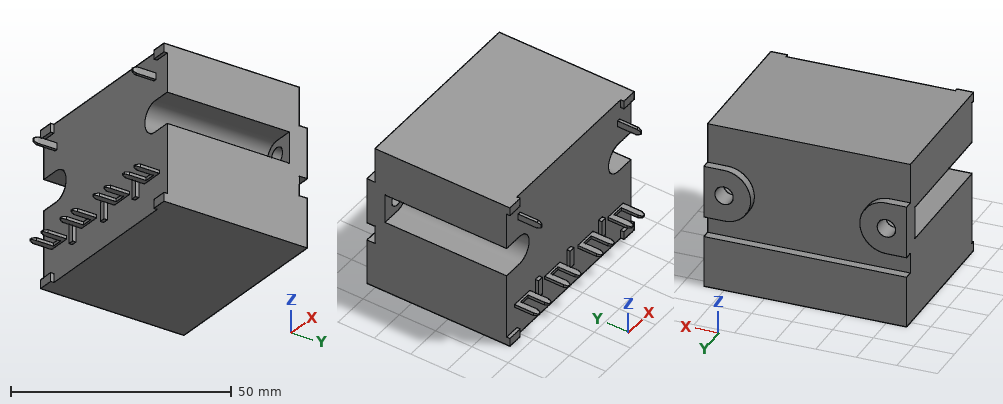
import cadquery as cq

WIDTH = 50.0
HEIGHT = 41.0
TOTAL_DEPTH = 44.7
PIN_LENGTH = 6.2
EAR_THICKNESS = 2.2
FOOT_HEIGHT = 12.9

HOLE_DIAMETER = 4.5
HOLE_INSET = 5.0
HOLE_BELOW_TOP = 16.5
SLOT_RADIUS = 4.05
SLOT_WALL = 5.0
EAR_RADIUS = 6.55

STANDOFF_HEIGHT = 0.9
STANDOFF_X = 4.15
STANDOFF_Z = 2.3
RIB_X = 1.5
RIB_Z = 5.0
RIB_PITCH = 12.7
RIB_ABOVE_BOTTOM = 8.95

PIN_THICKNESS = 0.8
TIP_LENGTH = 1.0
TIP_SCALE = 0.5
PRONG_WIDTH = 1.6
FORK_WIDTH = 6.1
FORK_BRIDGE = 0.6
FORK_OFFSETS = (-18.75, -6.65, 6.65, 18.75)
FORK_ABOVE_BOTTOM = 9.35
CONTROL_PIN_Z = 1.7
CONTROL_PIN_BELOW_TOP = 6.25

TOP = HEIGHT / 2
BOTTOM = -HEIGHT / 2
BACK = TOTAL_DEPTH - PIN_LENGTH
BODY_DEPTH = BACK - EAR_THICKNESS
HOLE_X = WIDTH / 2 - HOLE_INSET
HOLE_Z = TOP - HOLE_BELOW_TOP
FORK_Z = BOTTOM + FORK_ABOVE_BOTTOM
RIB_Z_CENTER = BOTTOM + RIB_ABOVE_BOTTOM
SIDES = (-1, 1)


def block(x, z, size_x, size_z, y_start, y_end):
    """Box centred on (x, z) that runs from y_start to y_end."""
    box = cq.Workplane("XY").box(size_x, y_end - y_start, size_z)
    return box.translate((x, (y_start + y_end) / 2, z))


def round_bar(x, z, radius, y_start, y_end):
    """Cylinder along Y from y_start to y_end."""
    start_plane = cq.Workplane("XZ", origin=(x, y_start, z))
    return start_plane.circle(radius).extrude(y_start - y_end)


def side_tongue(side, radius, y_start, y_end):
    """Half-round tongue about a mounting hole that runs out to the side of the case."""
    x = side * (WIDTH / 2 - HOLE_INSET / 2)
    tongue = round_bar(side * HOLE_X, HOLE_Z, radius, y_start, y_end)
    tongue = tongue.union(block(x, HOLE_Z, HOLE_INSET, 2 * radius, y_start, y_end))
    envelope = block(0, 0, WIDTH, HEIGHT, y_start, y_end)
    return tongue.intersect(envelope)


def pin(x, z, size_x, size_z):
    """Rectangular pin with a tapered tip, standing on the front face."""
    shoulder = TIP_LENGTH - PIN_LENGTH
    shank = block(x, z, size_x, size_z, shoulder, 0)
    tip = (
        cq.Workplane("XZ", origin=(x, shoulder, z))
        .rect(size_x, size_z)
        .workplane(offset=TIP_LENGTH)
        .rect(size_x * TIP_SCALE, size_z * TIP_SCALE)
        .loft()
    )
    return shank.union(tip)


def fork(x):
    """Load terminal: two prongs joined by a low bridge."""
    prong_offset = (FORK_WIDTH - PRONG_WIDTH) / 2
    terminal = block(x, FORK_Z, FORK_WIDTH, PIN_THICKNESS, -FORK_BRIDGE, 0)
    for side in SIDES:
        terminal = terminal.union(pin(x + side * prong_offset, FORK_Z, PRONG_WIDTH, PIN_THICKNESS))
    return terminal


result = block(0, 0, WIDTH, HEIGHT, 0, BODY_DEPTH)
result = result.union(block(0, BOTTOM + FOOT_HEIGHT / 2, WIDTH, FOOT_HEIGHT, 0, BACK))

for side in SIDES:
    result = result.union(side_tongue(side, EAR_RADIUS, BODY_DEPTH, BACK))
    result = result.cut(side_tongue(side, SLOT_RADIUS, 0, BACK - SLOT_WALL))
    result = result.cut(round_bar(side * HOLE_X, HOLE_Z, HOLE_DIAMETER / 2, 0, BACK))

for side in SIDES:
    for level in SIDES:
        standoff_x = side * (WIDTH - STANDOFF_X) / 2
        standoff_z = level * (HEIGHT - STANDOFF_Z) / 2
        result = result.union(block(standoff_x, standoff_z, STANDOFF_X, STANDOFF_Z, -STANDOFF_HEIGHT, 0))

for step in (-1, 0, 1):
    result = result.union(block(step * RIB_PITCH, RIB_Z_CENTER, RIB_X, RIB_Z, -STANDOFF_HEIGHT, 0))

for fork_x in FORK_OFFSETS:
    result = result.union(fork(fork_x))

for side in SIDES:
    result = result.union(pin(side * HOLE_X, TOP - CONTROL_PIN_BELOW_TOP, PIN_THICKNESS, CONTROL_PIN_Z))